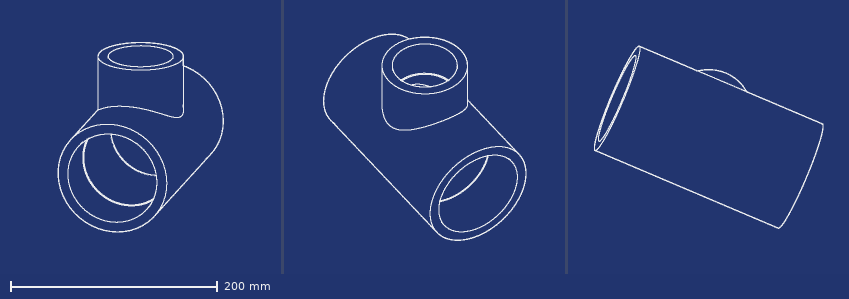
import cadquery as cq

run_length = 194.0
run_outer_diameter = 110.0
run_socket_diameter = 90.0
run_bore_diameter = 88.0
run_socket_depth = 51.0

branch_top = 93.0
branch_outer_diameter = 83.0
branch_socket_diameter = 63.0
branch_bore_diameter = 60.0
branch_socket_depth = 38.0


def run_cylinder(diameter, length):
    """Cylinder along Y, centred on the origin."""
    return cq.Workplane("XZ").circle(diameter / 2).extrude(length / 2, both=True)


def branch_cylinder(diameter, bottom):
    """Cylinder along Z, from the given height up to the branch rim."""
    return cq.Workplane("XY").workplane(offset=bottom).circle(diameter / 2).extrude(branch_top - bottom)


def outer_body():
    run = run_cylinder(run_outer_diameter, run_length)
    return run.union(branch_cylinder(branch_outer_diameter, 0))


def run_passage():
    """Through bore, widened to a socket at each end."""
    bore_length = run_length - 2 * run_socket_depth
    sockets = run_cylinder(run_socket_diameter, run_length).cut(
        run_cylinder(run_socket_diameter, bore_length)
    )
    return run_cylinder(run_bore_diameter, run_length).union(sockets)


def branch_passage():
    """Bore from the run axis to the rim, widened to a socket at the rim."""
    bore = branch_cylinder(branch_bore_diameter, 0)
    socket = branch_cylinder(branch_socket_diameter, branch_top - branch_socket_depth)
    return bore.union(socket)


result = outer_body().cut(run_passage()).cut(branch_passage())